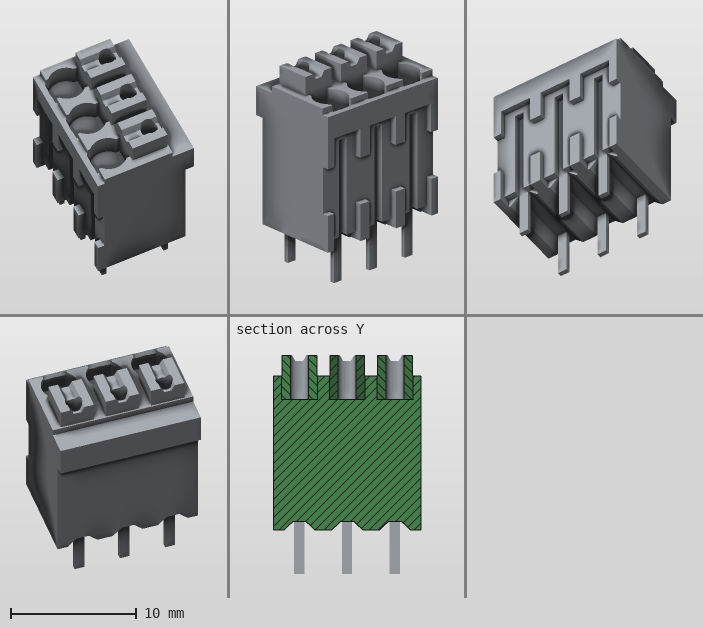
import cadquery as cq


POLE_COUNT = 3
PITCH = 3.8
POLE_X = [(i - (POLE_COUNT - 1) / 2) * PITCH for i in range(POLE_COUNT)]

HOUSING_WIDTH = 11.81
HOUSING_DEPTH = 8.5
BASE_Z = 3.49
REAR_FACE_Y = 7.77
REAR_LIP_Z = 12.72
SHOULDER_Z = 15.25
DECK_Z = 15.81
DECK_FRONT_Y = 0.61
DECK_REAR_Y = 6.61

PANEL_Y = 0.55
FOOT_TOP_Z = 6.68
TAB_BOTTOM_Z = 10.73
APRON_BOTTOM_Z = 13.23
TAB_GAP = 2.8
FOOT_GAP = 2.86
PANEL_BOTTOM_Z = 4.17

CHANNEL_BOTTOM_WIDTH = 2.51
CHANNEL_TOP_WIDTH = 1.05

PIN_WIDTH = 0.82
PIN_THICKNESS = 0.4
PIN_TOP_Z = 5.1
FRONT_PIN_Y = 1.15
REAR_PIN_Y = 6.61
GROOVE_TOP_Z = 12.62

ENTRY_FLOOR_Z = 13.95
ENTRY_DIAMETER = 3.02
ENTRY_Y = 1.97
ENTRY_OFFSET_X = -0.05
ENTRY_SLOT_WIDTH = 2.0
ENTRY_SLOT_FRONT_Y = 0.5

BUTTON_WIDTH = 2.8
BUTTON_FRONT_Y = 3.42
BUTTON_REAR_Y = 6.5
BUTTON_TOP_Z = 17.45
NOTCH_FLOOR_Z = 16.96
NOTCH_TOP_WIDTH = 1.2
NOTCH_FLOOR_WIDTH = 0.61
BUTTON_HOLE_DIAMETER = 1.4
BUTTON_HOLE_Y = 5.57


def block(x_center, width, y_min, y_max, z_min, z_max):
    """Box centred on x_center, spanning the given Y and Z ranges."""
    return (
        cq.Workplane("XY")
        .box(width, y_max - y_min, z_max - z_min, centered=(True, False, False))
        .translate((x_center, y_min, z_min))
    )


def trapezoid_bar(x_center, y_min, y_max, z_min, z_max, bottom_width, top_width):
    """Bar along Y with a symmetric trapezoidal section."""
    return (
        cq.Workplane("XZ", origin=(x_center, y_min, 0))
        .polyline([
            (-bottom_width / 2, z_min),
            (bottom_width / 2, z_min),
            (top_width / 2, z_max),
            (-top_width / 2, z_max),
        ])
        .close()
        .extrude(y_min - y_max)
    )


def vertical_cylinder(x, y, diameter, z_min, z_max):
    return (
        cq.Workplane("XY", origin=(x, y, z_min))
        .circle(diameter / 2)
        .extrude(z_max - z_min)
    )


def make_pin(x, front_y):
    return block(x, PIN_WIDTH, front_y, front_y + PIN_THICKNESS, 0, PIN_TOP_Z)


def button_blank(x):
    """Plain block of a button, which is also the shape of its pocket in the housing."""
    return block(x, BUTTON_WIDTH, BUTTON_FRONT_Y, BUTTON_REAR_Y, ENTRY_FLOOR_Z, BUTTON_TOP_Z)


def make_button(x):
    notch = trapezoid_bar(
        x, BUTTON_FRONT_Y, BUTTON_REAR_Y, NOTCH_FLOOR_Z, BUTTON_TOP_Z, NOTCH_FLOOR_WIDTH, NOTCH_TOP_WIDTH
    )
    hole = vertical_cylinder(x, BUTTON_HOLE_Y, BUTTON_HOLE_DIAMETER, ENTRY_FLOOR_Z, BUTTON_TOP_Z)
    return button_blank(x).cut(notch).cut(hole)


def housing_blank():
    """Side profile extruded over the full width."""
    return (
        cq.Workplane("YZ")
        .polyline([
            (0, BASE_Z),
            (REAR_FACE_Y, BASE_Z),
            (REAR_FACE_Y, REAR_LIP_Z),
            (HOUSING_DEPTH, REAR_LIP_Z),
            (HOUSING_DEPTH, SHOULDER_Z),
            (DECK_REAR_Y, SHOULDER_Z),
            (DECK_REAR_Y, DECK_Z),
            (DECK_FRONT_Y, DECK_Z),
            (DECK_FRONT_Y, SHOULDER_Z),
            (0, SHOULDER_Z),
            (0, TAB_BOTTOM_Z),
            (PANEL_Y, TAB_BOTTOM_Z),
            (PANEL_Y, FOOT_TOP_Z),
            (0, FOOT_TOP_Z),
        ])
        .close()
        .extrude(HOUSING_WIDTH / 2, both=True)
    )


def front_cuts(x):
    """Gaps between tabs and feet, the clearance below the panel and the pin groove of one pole."""
    return [
        block(x, TAB_GAP, 0, PANEL_Y, TAB_BOTTOM_Z, APRON_BOTTOM_Z),
        block(x, FOOT_GAP, 0, PANEL_Y, BASE_Z, FOOT_TOP_Z),
        block(x, FOOT_GAP, 0, FRONT_PIN_Y, BASE_Z, PANEL_BOTTOM_Z),
        block(x, PIN_WIDTH, 0, FRONT_PIN_Y, BASE_Z, GROOVE_TOP_Z),
    ]


def entry_cuts(x):
    """Round wire entry of one pole, with a slot from the front ledge back to the button."""
    entry_x = x + ENTRY_OFFSET_X
    return [
        vertical_cylinder(entry_x, ENTRY_Y, ENTRY_DIAMETER, ENTRY_FLOOR_Z, DECK_Z),
        block(entry_x, ENTRY_SLOT_WIDTH, ENTRY_SLOT_FRONT_Y, BUTTON_FRONT_Y, ENTRY_FLOOR_Z, DECK_Z),
    ]


def drain_channel(x):
    return trapezoid_bar(
        x, 0, REAR_FACE_Y, BASE_Z, PANEL_BOTTOM_Z, CHANNEL_BOTTOM_WIDTH, CHANNEL_TOP_WIDTH
    )


def make_housing():
    housing = housing_blank()
    for x in POLE_X:
        cuts = front_cuts(x) + entry_cuts(x)
        cuts += [drain_channel(x), button_blank(x)]
        cuts += [make_pin(x, FRONT_PIN_Y), make_pin(x, REAR_PIN_Y)]
        for cutter in cuts:
            housing = housing.cut(cutter)
    return housing


housing = make_housing()
buttons = [make_button(x) for x in POLE_X]
pins = [make_pin(x, row_y) for row_y in (FRONT_PIN_Y, REAR_PIN_Y) for x in POLE_X]

result = cq.Compound.makeCompound(
    [housing.val()] + [button.val() for button in buttons] + [pin.val() for pin in pins]
)